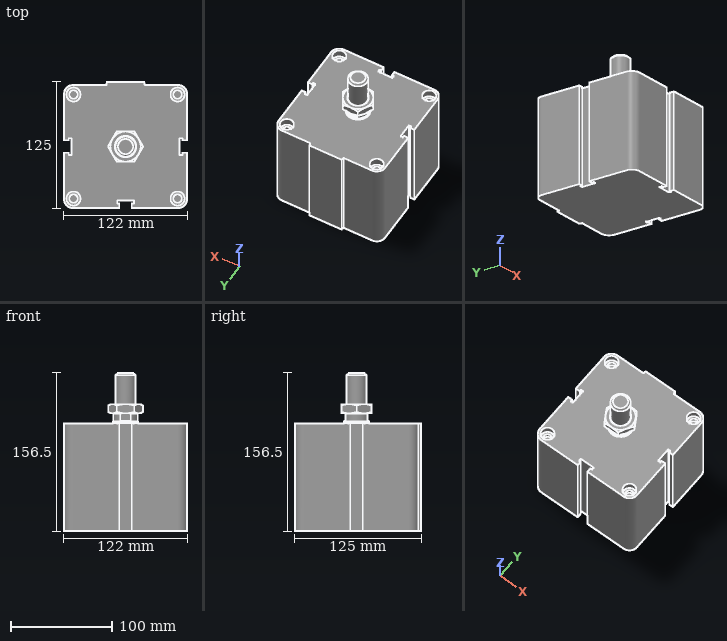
import cadquery as cq
import math

total_height = 156.5

side = 122.0
half = side / 2
housing_height = 106.5
corner_radius = 9.2

pad_height = 3.0
pad_outer_width = 37.0
pad_base_width = 38.2

slot_depth = 7.5
slot_lip = 4.9
slot_mouth_width = 12.0
slot_inner_width = 16.3

hole_offset = 51.5
counterbore_diameter = 14.0
counterbore_depth = 8.8
screw_hole_diameter = 8.5
screw_hole_depth = 13.8

rod_diameter = 25.0
rod_embedded_depth = 10.0
rod_rise = total_height - housing_height
collar_height = 1.7
neck_diameter = 24.5
neck_chamfer = (rod_diameter - neck_diameter) / 2
shoulder_height = 10.0
shoulder_chamfer = 0.5
flat_bottom = 2.7
across_flats = 22.0
thread_diameter = 20.0
thread_chamfer_height = 2.2
thread_end_diameter = 15.0

nut_width = 30.0
nut_thickness = 9.0
nut_corner_diameter = nut_width * 2 / math.sqrt(3)
nut_face_diameter = 29.9
nut_chamfer_angle = 30.0
nut_bore_chamfer = 0.6


def t_slot(angle):
    """T-slot in the -Y side, turned about Z by the given angle."""
    inner_depth = slot_depth - slot_lip
    centering = (True, False, False)
    mouth = cq.Workplane("XY").box(slot_mouth_width, slot_depth, housing_height, centered=centering)
    inner = cq.Workplane("XY").box(slot_inner_width, inner_depth, housing_height, centered=centering)
    slot = mouth.union(inner.translate((0, slot_lip, 0))).translate((0, -half, 0))
    return slot.rotate((0, 0, 0), (0, 0, 1), angle)


def make_housing():
    body = cq.Workplane("XY").box(side, side, housing_height, centered=(True, True, False))
    body = body.edges("|Z").fillet(corner_radius)

    pad_outline = [
        (-pad_base_width / 2, half),
        (-pad_outer_width / 2, half + pad_height),
        (pad_outer_width / 2, half + pad_height),
        (pad_base_width / 2, half),
    ]
    body = body.union(cq.Workplane("XY").polyline(pad_outline).close().extrude(housing_height))

    for angle in (-90, 0, 90):
        body = body.cut(t_slot(angle))

    body = (
        body.faces(">Z")
        .workplane(origin=(0, 0, housing_height))
        .rect(2 * hole_offset, 2 * hole_offset, forConstruction=True)
        .vertices()
        .cboreHole(screw_hole_diameter, counterbore_diameter, counterbore_depth, screw_hole_depth)
    )

    socket_floor = housing_height - rod_embedded_depth
    rod_socket = cq.Workplane("XY", origin=(0, 0, socket_floor)).circle(rod_diameter / 2)
    return body.cut(rod_socket.extrude(rod_embedded_depth))


def make_rod():
    rod_radius = rod_diameter / 2
    neck_radius = neck_diameter / 2
    thread_radius = thread_diameter / 2
    profile = [
        (0, -rod_embedded_depth),
        (rod_radius, -rod_embedded_depth),
        (rod_radius, collar_height),
        (neck_radius, collar_height + neck_chamfer),
        (neck_radius, shoulder_height - shoulder_chamfer),
        (neck_radius - shoulder_chamfer, shoulder_height),
        (thread_radius, shoulder_height),
        (thread_radius, rod_rise - thread_chamfer_height),
        (thread_end_diameter / 2, rod_rise),
        (0, rod_rise),
    ]
    rod = cq.Workplane("XZ").polyline(profile).close().revolve(360, (0, 0, 0), (0, 1, 0))

    flat_height = shoulder_height - flat_bottom
    cutter = cq.Workplane("XY").box(rod_diameter, rod_diameter, flat_height, centered=(True, True, False))
    cutter_offset = (across_flats + rod_diameter) / 2
    for direction in (-1, 1):
        rod = rod.cut(cutter.translate((0, direction * cutter_offset, flat_bottom)))

    return rod.translate((0, 0, housing_height))


def make_nut():
    nut = cq.Workplane("XY").polygon(6, nut_corner_diameter).extrude(nut_thickness)

    face_radius = nut_face_diameter / 2
    tip_radius = nut_corner_diameter / 2
    drop = (tip_radius - face_radius) * math.tan(math.radians(nut_chamfer_angle))
    profile = [
        (0, 0),
        (face_radius, 0),
        (tip_radius, drop),
        (tip_radius, nut_thickness - drop),
        (face_radius, nut_thickness),
        (0, nut_thickness),
    ]
    envelope = cq.Workplane("XZ").polyline(profile).close().revolve(360, (0, 0, 0), (0, 1, 0))
    nut = nut.intersect(envelope)

    nut = nut.faces(">Z").workplane().hole(thread_diameter)
    nut = nut.edges("%CIRCLE").edges(cq.selectors.RadiusNthSelector(0)).chamfer(nut_bore_chamfer)
    return nut.translate((0, 0, housing_height + shoulder_height))


housing = make_housing()
rod = make_rod()
nut = make_nut()

result = cq.Compound.makeCompound([housing.val(), rod.val(), nut.val()])